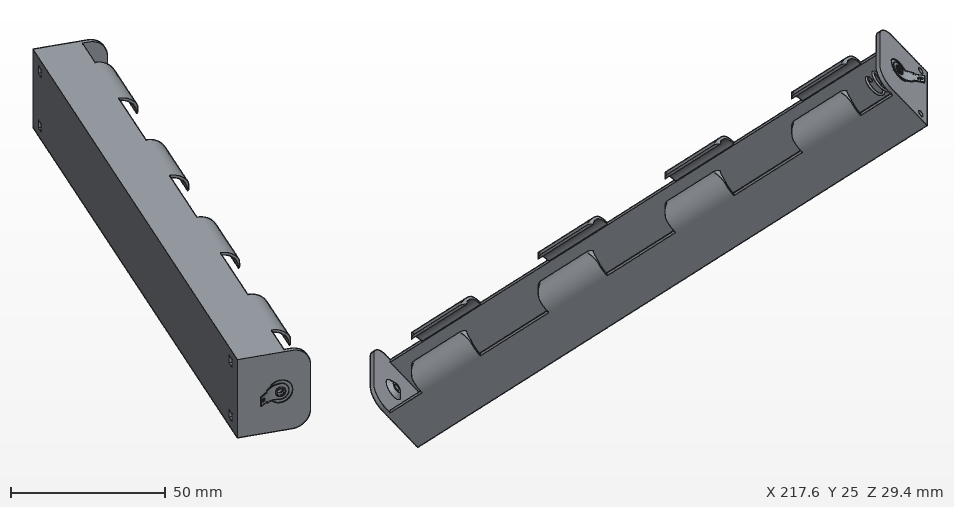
import math

import cadquery as cq


length = 209.0
depth = 25.0
height = 29.4
wall = 1.5
side_wall_depth = 16.4
end_corner_radius = 6.35
axis_y = height / 2
inner_end_x = length / 2 - wall

cell_count = 4
tab_pitch = 52.0
tab_width = 24.0
tab_top_y = 23.8
tab_corner_radius = 2.8
tab_curl_radius = tab_top_y - side_wall_depth
tab_thickness = 1.0

mount_hole_size = 2.8
mount_hole_end_inset = 7.15
mount_hole_side_inset = 4.5
wire_hole_diameter = 2.3
wire_hole_y = 3.45
wire_hole_side_inset = 2.9

recess_radius = 4.2
lug_overhang = 4.28
lug_thickness = 0.4
lug_disc_radius = 2.95
lug_bend_start_y = axis_y - 1.1
lug_bend_angle = 40.0
lug_bend_radius = 4.6
lug_neck_width = 4.6
lug_neck_end_y = 9.5
lug_tip_width = 3.4
lug_hole_diameter = 1.2
lug_hole_y = 7.8
rivet_head_radius = 1.75
rivet_head_thickness = 0.2
rivet_shank_radius = 1.5
rivet_bore_radius = 1.2

wire_diameter = 0.8
spring_pitch = 2.95
spring_turns = 3.25
spring_base_radius = 5.0
spring_taper_angle = 7.0

button_base_radius = 3.8
button_top_radius = 1.9
button_height = 1.4


def end_plate(inner_x):
    """One rounded end wall, extruded toward +X from inner_x."""
    return (
        cq.Workplane("YZ", origin=(inner_x, 0, 0))
        .center(depth / 2, 0)
        .rect(depth, height)
        .extrude(wall)
        .edges("|X and >Y")
        .fillet(end_corner_radius)
    )


def retaining_tab(center_x):
    """A tab curling a quarter turn inward from the top of the +Z side wall."""
    start_z = height / 2
    curl_z = start_z - tab_curl_radius
    inner_radius = tab_curl_radius - tab_thickness
    curl = (
        cq.Workplane("YZ", origin=(center_x - tab_width / 2, side_wall_depth, curl_z))
        .circle(tab_curl_radius)
        .circle(inner_radius)
        .extrude(tab_width)
    )
    outline = (
        cq.Workplane("XY", origin=(center_x, side_wall_depth + tab_curl_radius / 2, curl_z))
        .rect(tab_width, tab_curl_radius)
        .extrude(tab_curl_radius)
        .edges("|Z and >Y")
        .fillet(tab_corner_radius)
    )
    return curl.intersect(outline)


def make_housing():
    base = cq.Workplane("XY").box(length, wall, height).translate((0, wall / 2, 0))
    body = base.union(end_plate(-length / 2)).union(end_plate(inner_end_x))
    side_z = (height - wall) / 2
    for z in (-side_z, side_z):
        side = cq.Workplane("XY").box(length, side_wall_depth, wall)
        body = body.union(side.translate((0, side_wall_depth / 2, z)))
    for i in range(cell_count):
        tab = retaining_tab((i - (cell_count - 1) / 2) * tab_pitch)
        body = body.union(tab).union(tab.mirror("XY"))

    mount_holes = (
        cq.Workplane("XZ")
        .rarray(length - 2 * mount_hole_end_inset, height - 2 * mount_hole_side_inset, 2, 2)
        .rect(mount_hole_size, mount_hole_size)
        .extrude(-wall)
    )
    wire_hole_z = height / 2 - wire_hole_side_inset
    wire_holes = (
        cq.Workplane("YZ", origin=(-length / 2, wire_hole_y, 0))
        .pushPoints([(0, -wire_hole_z), (0, wire_hole_z)])
        .circle(wire_hole_diameter / 2)
        .extrude(wall)
    )
    end_face = cq.Workplane("YZ", origin=(-length / 2, axis_y, 0))
    rivet_holes = end_face.circle(rivet_shank_radius).extrude(length)
    recess = end_face.circle(recess_radius).extrude(lug_thickness)
    recesses = recess.union(recess.mirror("YZ"))
    return body.cut(mount_holes).cut(wire_holes).cut(rivet_holes).cut(recesses)


def make_left_terminal():
    """Lug lying flush in the -X end, bent outward toward -Y, with its rivet through the end plate."""
    face_x = -length / 2
    seat_x = face_x + lug_thickness
    angle = math.radians(lug_bend_angle)
    half_angle = angle / 2
    bend_x = face_x - lug_bend_radius
    inner_r = lug_bend_radius
    outer_r = lug_bend_radius + lug_thickness

    def on_bend(radius, turn):
        return (bend_x + radius * math.cos(turn), lug_bend_start_y - radius * math.sin(turn))

    outer_end = on_bend(outer_r, angle)
    inner_end = on_bend(inner_r, angle)
    tip_run = (lug_overhang - (face_x - inner_end[0])) / math.sin(angle)
    along = (-tip_run * math.sin(angle), -tip_run * math.cos(angle))
    top_y = axis_y + lug_disc_radius
    strip = (
        cq.Workplane("XY", origin=(0, 0, -lug_disc_radius))
        .moveTo(seat_x, top_y)
        .lineTo(seat_x, lug_bend_start_y)
        .threePointArc(on_bend(outer_r, half_angle), outer_end)
        .lineTo(outer_end[0] + along[0], outer_end[1] + along[1])
        .lineTo(inner_end[0] + along[0], inner_end[1] + along[1])
        .lineTo(*inner_end)
        .threePointArc(on_bend(inner_r, half_angle), (face_x, lug_bend_start_y))
        .lineTo(face_x, top_y)
        .close()
        .extrude(2 * lug_disc_radius)
    )

    reach = 2 * lug_overhang
    side = cq.Workplane("YZ", origin=(face_x - lug_overhang, 0, 0))
    disc = side.center(axis_y, 0).circle(lug_disc_radius).extrude(reach)
    neck = (
        side.moveTo(axis_y, lug_disc_radius)
        .lineTo(lug_neck_end_y, lug_neck_width / 2)
        .lineTo(lug_neck_end_y, -lug_neck_width / 2)
        .lineTo(axis_y, -lug_disc_radius)
        .close()
        .extrude(reach)
    )
    tip = side.center(axis_y / 2, 0).rect(axis_y, lug_tip_width).extrude(reach)
    lug_hole = side.center(lug_hole_y, 0).circle(lug_hole_diameter / 2).extrude(reach)
    lug = strip.intersect(disc.union(neck).union(tip)).cut(lug_hole)

    head = cq.Workplane("YZ", origin=(face_x - rivet_head_thickness, axis_y, 0))
    rivet = head.circle(rivet_head_radius).extrude(rivet_head_thickness)
    rivet = rivet.union(head.circle(rivet_shank_radius).extrude(rivet_head_thickness + wall))
    bore = side.center(axis_y, 0).circle(rivet_bore_radius).extrude(reach)
    return lug.union(rivet).cut(bore)


def make_spring():
    """Conical coil spring standing on the inside of the -X end plate."""
    start_x = -inner_end_x + wire_diameter / 2
    spring_length = spring_pitch * spring_turns
    path = cq.Wire.makeHelix(
        spring_pitch, spring_length, spring_base_radius - wire_diameter / 2, angle=-spring_taper_angle
    )
    coil = (
        cq.Workplane("XZ", origin=(spring_base_radius - wire_diameter / 2, 0, 0))
        .circle(wire_diameter / 2)
        .sweep(cq.Workplane(path), isFrenet=True)
    )
    standing = coil.rotate((0, 0, 0), (0, 1, 0), 90).rotate((0, 0, 0), (1, 0, 0), 90)
    return standing.translate((start_x, axis_y, 0))


def make_button():
    """Conical contact on the inside of the +X end plate, with a bore in line with the rivet."""
    return (
        cq.Workplane("YZ", origin=(inner_end_x, axis_y, 0))
        .circle(button_base_radius)
        .workplane(offset=-button_height)
        .circle(button_top_radius)
        .loft()
        .faces("<X")
        .workplane()
        .circle(rivet_bore_radius)
        .cutThruAll()
    )


housing = make_housing()
left_terminal = make_left_terminal()
right_terminal = left_terminal.mirror("YZ")
spring = make_spring()
button = make_button()

result = cq.Compound.makeCompound(
    [housing.val(), left_terminal.val(), right_terminal.val(), spring.val(), button.val()]
)